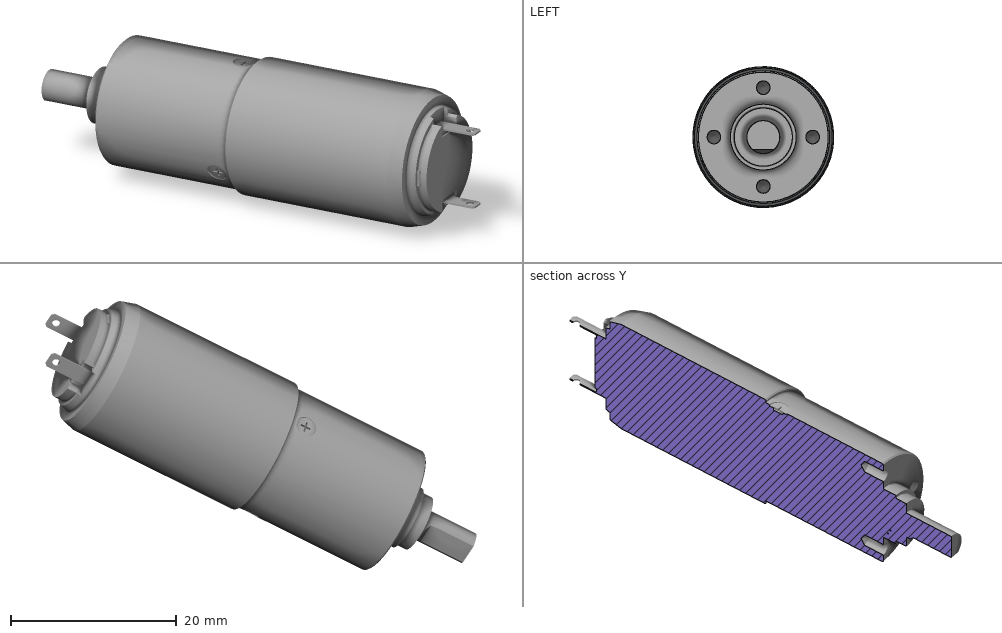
import cadquery as cq
import math


SHAFT_RADIUS = 2.0
FLAT_HEIGHT = 1.5
FLAT_LENGTH = 5.9

COLLAR_START = 6.9
PILOT_START = 8.5
GEARBOX_START = 10.4
MOTOR_START = 28.4
TAPER_START = 50.6
TAPER_END = 52.35
BELL_END = 53.4
CAP_END = 54.65
TERMINAL_END = 58.5

COLLAR_RADIUS = 3.5
PILOT_RADIUS = 4.0
GEARBOX_RADIUS = 8.0
MOTOR_DIAMETER = 17.0
MOTOR_RADIUS = MOTOR_DIAMETER / 2
TAPER_END_RADIUS = 8.0
BELL_START_RADIUS = 6.85
BELL_END_RADIUS = 6.5
CAP_RADIUS = 5.95
EDGE_CHAMFER = 0.2

MOUNT_HOLE_RADIUS = 0.8
MOUNT_CIRCLE_RADIUS = 5.95
MOUNT_HOLE_DEPTH = 2.9
MOUNT_HOLE_COUNT = 4
DRILL_POINT_ANGLE = 118.0

SCREW_X = 26.55
SCREW_COUNT = 3
SCREW_RADIUS = 1.3
SCREW_HEAD_LEVEL = 7.85
CROSS_LENGTH = 1.35
CROSS_WIDTH = 0.25
CROSS_DEPTH = 0.35

TERMINAL_LEVEL = 4.75
TERMINAL_WIDTH = 2.0
TERMINAL_THICKNESS = 0.25
TERMINAL_CHAMFER = 0.3
TERMINAL_HOLE_X = 57.45
TERMINAL_HOLE_RADIUS = 0.45
NOTCH_START = 52.95
NOTCH_WIDTH = 3.5
NOTCH_FLOOR = 4.1
FLARE_WIDTH = 4.1
PAD_WIDTH = 3.15
PAD_END = 54.45

TAB_LENGTH = 0.35
TAB_WIDTH = 2.0
TAB_ROOT = 5.25
TAB_REACH = 6.1


def box(x_start, x_end, width, z_low, z_high):
    """Block centred on Y = 0 between two stations and two heights."""
    length = x_end - x_start
    return (
        cq.Workplane("XY")
        .box(length, width, z_high - z_low, centered=(False, True, False))
        .translate((x_start, 0, z_low))
    )


def around_axis(shape, angle):
    """Turn a shape about the X axis."""
    return shape.rotate((0, 0, 0), (1, 0, 0), angle)


def turned_body():
    """Shaft, bearing collar, pilot, gearbox, motor can and end cap as one revolve."""
    profile = [
        (0, 0),
        (0, SHAFT_RADIUS),
        (COLLAR_START, SHAFT_RADIUS),
        (COLLAR_START, COLLAR_RADIUS),
        (PILOT_START, COLLAR_RADIUS),
        (PILOT_START, PILOT_RADIUS),
        (GEARBOX_START, PILOT_RADIUS),
        (GEARBOX_START, GEARBOX_RADIUS - EDGE_CHAMFER),
        (GEARBOX_START + EDGE_CHAMFER, GEARBOX_RADIUS),
        (MOTOR_START, GEARBOX_RADIUS),
        (MOTOR_START, MOTOR_RADIUS - EDGE_CHAMFER),
        (MOTOR_START + EDGE_CHAMFER, MOTOR_RADIUS),
        (TAPER_START, MOTOR_RADIUS),
        (TAPER_END, TAPER_END_RADIUS),
        (TAPER_END, BELL_START_RADIUS),
        (BELL_END, BELL_END_RADIUS),
        (BELL_END, CAP_RADIUS),
        (CAP_END, CAP_RADIUS),
        (CAP_END, 0),
    ]
    return cq.Workplane("XY").polyline(profile).close().revolve(360, (0, 0, 0), (1, 0, 0))


def shaft_flat():
    """Material below the D-flat, which runs out to the shaft surface at 45 degrees."""
    drop = SHAFT_RADIUS - FLAT_HEIGHT
    return (
        cq.Workplane("XZ")
        .polyline([
            (0, -FLAT_HEIGHT),
            (FLAT_LENGTH, -FLAT_HEIGHT),
            (FLAT_LENGTH + drop, -SHAFT_RADIUS),
            (0, -SHAFT_RADIUS),
        ])
        .close()
        .extrude(SHAFT_RADIUS, both=True)
    )


def mounting_hole():
    """Blind drilled hole with a conical bottom, above the axis."""
    point_length = MOUNT_HOLE_RADIUS / math.tan(math.radians(DRILL_POINT_ANGLE / 2))
    hole_end = GEARBOX_START + MOUNT_HOLE_DEPTH
    return (
        cq.Workplane("XZ")
        .polyline([
            (GEARBOX_START, 0),
            (GEARBOX_START, MOUNT_HOLE_RADIUS),
            (hole_end, MOUNT_HOLE_RADIUS),
            (hole_end + point_length, 0),
        ])
        .close()
        .revolve(360, (0, 0, 0), (1, 0, 0))
        .translate((0, 0, MOUNT_CIRCLE_RADIUS))
    )


def screw_recess():
    """Round seat down to the flat screw head plus the cross in that head."""
    seat = (
        cq.Workplane("XY", origin=(SCREW_X, 0, SCREW_HEAD_LEVEL))
        .circle(SCREW_RADIUS)
        .extrude(GEARBOX_RADIUS - SCREW_HEAD_LEVEL)
    )
    cross_floor = cq.Workplane("XY", origin=(SCREW_X, 0, SCREW_HEAD_LEVEL - CROSS_DEPTH))
    lengthwise_arm = cross_floor.rect(CROSS_LENGTH, CROSS_WIDTH).extrude(CROSS_DEPTH)
    crosswise_arm = cross_floor.rect(CROSS_WIDTH, CROSS_LENGTH).extrude(CROSS_DEPTH)
    return seat.union(lengthwise_arm).union(crosswise_arm)


def terminal_notch():
    """Opening through the cap rim, with its long edges chamfered at 45 degrees along the cap."""
    slot = box(NOTCH_START, CAP_END, NOTCH_WIDTH, NOTCH_FLOOR, BELL_START_RADIUS)
    half_notch = NOTCH_WIDTH / 2
    half_flare = FLARE_WIDTH / 2
    flare_top = math.sqrt(CAP_RADIUS**2 - half_flare**2)
    flare_bottom = flare_top - (half_flare - half_notch)
    flare = (
        cq.Workplane("YZ", origin=(BELL_END, 0, 0))
        .polyline([
            (-half_notch, flare_bottom),
            (half_notch, flare_bottom),
            (half_flare, flare_top),
            (half_flare, CAP_RADIUS),
            (-half_flare, CAP_RADIUS),
            (-half_flare, flare_top),
        ])
        .close()
        .extrude(CAP_END - BELL_END)
    )
    return slot.union(flare)


def terminal_pad():
    """Pad rising from the notch floor to the underside of the terminal."""
    return box(NOTCH_START, PAD_END, PAD_WIDTH, NOTCH_FLOOR, TERMINAL_LEVEL - TERMINAL_THICKNESS / 2)


def terminal():
    """Flat solder lug with clipped corners and a wire hole."""
    half = TERMINAL_THICKNESS / 2
    lug = box(NOTCH_START, TERMINAL_END, TERMINAL_WIDTH, TERMINAL_LEVEL - half, TERMINAL_LEVEL + half)
    hole = (
        cq.Workplane("XY", origin=(TERMINAL_HOLE_X, 0, TERMINAL_LEVEL - half))
        .circle(TERMINAL_HOLE_RADIUS)
        .extrude(TERMINAL_THICKNESS)
    )
    return lug.edges("|Z and >X").chamfer(TERMINAL_CHAMFER).cut(hole)


def cap_tab():
    """Locating tab at the foot of the cap, above the axis."""
    return box(BELL_END, BELL_END + TAB_LENGTH, TAB_WIDTH, TAB_ROOT, TAB_REACH)


result = turned_body().cut(shaft_flat())

for i in range(MOUNT_HOLE_COUNT):
    result = result.cut(around_axis(mounting_hole(), i * 360 / MOUNT_HOLE_COUNT))

for i in range(SCREW_COUNT):
    result = result.cut(around_axis(screw_recess(), i * 360 / SCREW_COUNT))

for angle in (0, 180):
    result = result.cut(around_axis(terminal_notch(), angle))
    result = result.union(around_axis(terminal_pad(), angle))
    result = result.union(around_axis(terminal(), angle))

for angle in (90, 270):
    result = result.union(around_axis(cap_tab(), angle))